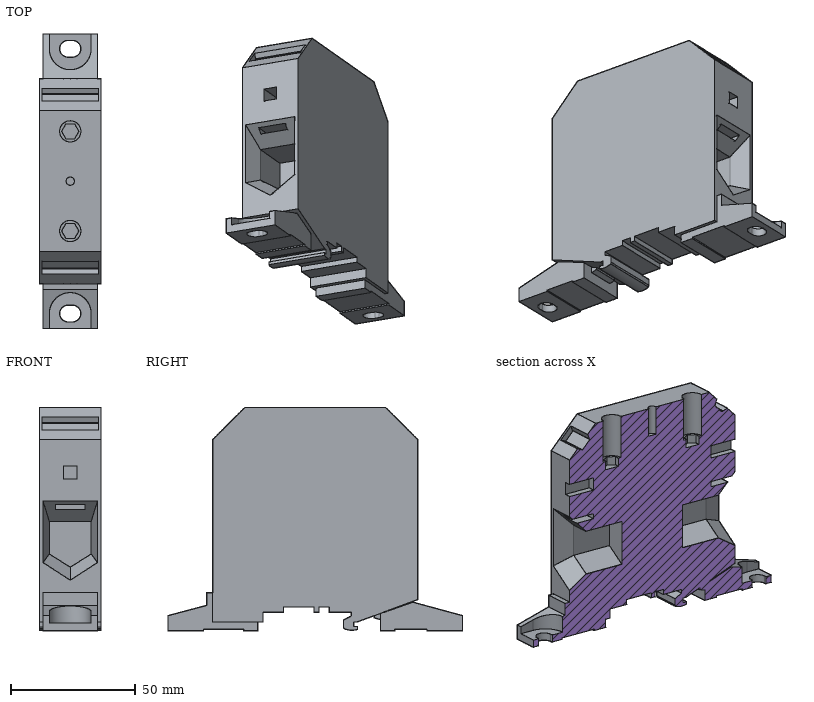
import cadquery as cq
import math

body_width = 25.0
body_length = 82.7
body_top = 90.0
body_front = -body_length / 2
body_back = body_length / 2
top_bevel = 13.0
bevel_angle = 45
back_corner_z = 12.6
base_z = 3.6
hook_root_y = 16.9
rail_seat_z = 7.5
rail_relief_z = 9.6

overall_length = 118.8
foot_width = 22.0
foot_tip = overall_length / 2
foot_tip_height = 6.2
foot_recess = 0.6
recess_outer = 45.0
rib_width = 11.9
lip_height = 15.5
lip_thickness = 2.4
lip_foot_z = 10.3
pad_floor_z = 3.2
pad_radius = 8.4
pad_inset = 6.0
bolt_slot_length = 8.4
bolt_slot_width = 6.7

screw_spacing = 40.2
screw_hole_diameter = 8.5
screw_hole_depth = 17.8
hex_across_flats = 6.0
hex_depth = 3.6
test_hole_diameter = 3.3
test_hole_depth = 11.9

marker_width = 22.7
marker_length = 7.1
marker_draft_depth = 2.0
marker_draft_inset = 1.0
marker_depth = 2.5

entry_width = 22.0
entry_top = 52.4
entry_side_bottom = 27.6
entry_apex = 20.4
bore_width = 16.9
bore_top = 44.1
bore_side_bottom = 31.0
bore_apex = 25.7
funnel_depth = 8.3
bore_depth = 17.8
slit_width = 11.9
slit_bottom = 48.8
slit_height = 2.0
slit_depth = 11.9

probe_width = 5.5
probe_bottom = 61.3
probe_height = 5.1
probe_depth = 11.9


def box(width, y_min, y_max, z_min, z_max):
    """Box centred on X between the given Y and Z limits."""
    return (
        cq.Workplane("XY")
        .box(width, y_max - y_min, z_max - z_min, centered=(True, False, False))
        .translate((0, y_min, z_min))
    )


def other_end(shape):
    """Copy of a front-end shape turned round to the back end."""
    return shape.rotate((0, 0, 0), (0, 0, 1), 180)


def make_housing():
    """Side outline of the housing, with the rail hook and rail seat below."""
    profile = (
        cq.Workplane("YZ")
        .moveTo(body_front, base_z)
        .lineTo(body_front, body_top - top_bevel)
        .lineTo(body_front + top_bevel, body_top)
        .lineTo(body_back - top_bevel, body_top)
        .lineTo(body_back, body_top - top_bevel)
        .lineTo(body_back, back_corner_z)
        .lineTo(hook_root_y, base_z)
        .lineTo(15.6, base_z)
        .lineTo(15.6, 1.8)
        .lineTo(17.1, 1.8)
        .lineTo(17.1, 0.6)
        .threePointArc((14.3, 0.2), (11.5, 1.0))
        .lineTo(11.3, 1.7)
        .lineTo(11.3, 4.4)
        .lineTo(14.5, 6.0)
        .lineTo(14.5, rail_seat_z)
        .lineTo(5.6, rail_seat_z)
        .lineTo(5.6, rail_relief_z)
        .lineTo(1.5, rail_relief_z)
        .lineTo(1.5, rail_seat_z)
        .lineTo(-0.6, rail_seat_z)
        .lineTo(-0.6, rail_relief_z)
        .lineTo(-12.7, rail_relief_z)
        .lineTo(-12.7, rail_seat_z)
        .lineTo(-21.0, rail_seat_z)
        .lineTo(-21.0, base_z)
        .close()
    )
    return profile.extrude(body_width / 2, both=True)


def make_front_foot():
    """Foot with an upright lip against the front of the housing."""
    inner_end = -23.2
    recess_end = -28.9
    lip_front = body_front - lip_thickness
    profile = (
        cq.Workplane("YZ")
        .moveTo(-foot_tip, 0)
        .lineTo(-foot_tip, foot_tip_height)
        .lineTo(lip_front, lip_foot_z)
        .lineTo(lip_front, lip_height)
        .lineTo(body_front, lip_height)
        .lineTo(body_front, base_z)
        .lineTo(inner_end, base_z)
        .lineTo(inner_end, 0)
        .close()
    )
    foot = profile.extrude(foot_width / 2, both=True)
    return foot.cut(box(foot_width, -recess_outer, recess_end, 0, foot_recess))


def make_back_foot():
    """Foot under the sloping back corner, with a narrow rib at its inner end."""
    inner_end = 26.3
    rib_end = 23.8
    foot_ridge = (39.3, 11.6)
    recess_start = 32.1
    under_slope = (back_corner_z - base_z) / (body_back - hook_root_y)
    profile = (
        cq.Workplane("YZ")
        .moveTo(foot_tip, 0)
        .lineTo(foot_tip, foot_tip_height)
        .lineTo(*foot_ridge)
        .lineTo(inner_end, back_corner_z - under_slope * (body_back - inner_end))
        .lineTo(inner_end, 0)
        .close()
    )
    rib = (
        cq.Workplane("YZ")
        .polyline([
            (inner_end, rail_seat_z),
            (inner_end, 4.5),
            (rib_end, 5.2),
            (rib_end, rail_seat_z),
        ])
        .close()
        .extrude(rib_width / 2, both=True)
    )
    foot = profile.extrude(foot_width / 2, both=True).union(rib)
    return foot.cut(box(foot_width, recess_start, recess_outer, 0, foot_recess))


def make_bolt_seat():
    """Round-ended bolt seat, open at the foot tip, with its bolt slot."""
    centre = pad_inset - foot_tip
    seat = (
        cq.Workplane("XY")
        .workplane(offset=pad_floor_z)
        .center(0, centre)
        .circle(pad_radius)
        .extrude(lip_height)
    )
    seat = seat.union(box(2 * pad_radius, -foot_tip, centre, pad_floor_z, pad_floor_z + lip_height))
    slot = (
        cq.Workplane("XY")
        .center(0, centre)
        .slot2D(bolt_slot_length, bolt_slot_width)
        .extrude(lip_height)
    )
    return seat.union(slot)


def make_marker_recess():
    """Recess square to the front bevel, narrowing inward, then straight."""
    half_mouth = marker_length / 2
    half_floor = half_mouth - marker_draft_inset
    recess = (
        cq.Workplane("YZ")
        .polyline([
            (half_mouth, 0),
            (half_floor, -marker_draft_depth),
            (half_floor, -marker_depth),
            (-half_floor, -marker_depth),
            (-half_floor, -marker_draft_depth),
            (-half_mouth, 0),
        ])
        .close()
        .extrude(marker_width / 2, both=True)
    )
    recess = recess.rotate((0, 0, 0), (1, 0, 0), bevel_angle)
    return recess.translate((0, body_front + top_bevel / 2, body_top - top_bevel / 2))


def entry_outline(plane, width, top, side_bottom, apex):
    """Five-sided outline with a V-shaped bottom."""
    return plane.polyline([
        (-width / 2, top),
        (width / 2, top),
        (width / 2, side_bottom),
        (0, apex),
        (-width / 2, side_bottom),
    ]).close()


def make_wire_entry():
    """Funnel, straight bore behind it and a slit in the funnel roof."""
    mouth = cq.Workplane("XZ", origin=(0, body_front, 0))
    funnel = entry_outline(mouth, entry_width, entry_top, entry_side_bottom, entry_apex)
    throat = funnel.workplane(offset=-funnel_depth)
    funnel = entry_outline(throat, bore_width, bore_top, bore_side_bottom, bore_apex).loft(ruled=True)

    bore_start = cq.Workplane("XZ", origin=(0, body_front + funnel_depth, 0))
    bore = entry_outline(bore_start, bore_width, bore_top, bore_side_bottom, bore_apex)
    bore = bore.extrude(-bore_depth)

    roof_slope = (entry_top - bore_top) / funnel_depth
    slit_front = body_front + (entry_top - slit_bottom - slit_height) / roof_slope
    slit = box(slit_width, slit_front, body_front + slit_depth, slit_bottom, slit_bottom + slit_height)
    return funnel.union(bore).union(slit)


def make_screw_hole():
    """Round access hole with the screw's hexagon socket at its floor."""
    centre = -screw_spacing / 2
    hole = (
        cq.Workplane("XY", origin=(0, centre, body_top))
        .circle(screw_hole_diameter / 2)
        .extrude(-screw_hole_depth)
    )
    hex_across_corners = hex_across_flats / math.cos(math.pi / 6)
    socket = (
        cq.Workplane("XY", origin=(0, centre, body_top))
        .polygon(6, hex_across_corners)
        .extrude(-screw_hole_depth - hex_depth)
    )
    return hole.union(socket)


def make_probe_opening():
    """Blind square opening in the front face."""
    return box(
        probe_width, body_front, body_front + probe_depth,
        probe_bottom, probe_bottom + probe_height,
    )


result = make_housing().union(make_front_foot()).union(make_back_foot())

end_cuts = [
    make_bolt_seat(),
    make_marker_recess(),
    make_wire_entry(),
    make_screw_hole(),
    make_probe_opening(),
]
for end_cut in end_cuts:
    result = result.cut(end_cut).cut(other_end(end_cut))

test_hole = (
    cq.Workplane("XY", origin=(0, 0, body_top))
    .circle(test_hole_diameter / 2)
    .extrude(-test_hole_depth)
)
result = result.cut(test_hole)